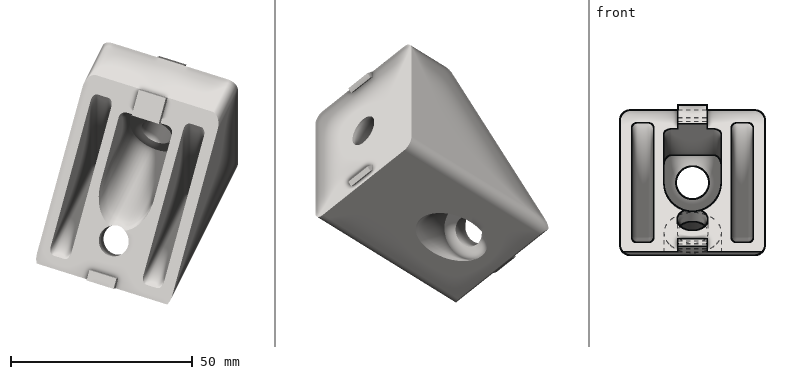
import cadquery as cq
import math


width = 40.0
height = 40.0
top_depth = 12.0
edge_radius = 3.0
toe_width = 1.5

tab_width = 8.0
slope_tab_thickness = 2.0
upper_tab_length = 7.4
lower_tab_length = 3.0
hook_reach = 2.0
hook_thickness = 1.5
hook_pitch = 36.0

bolt_diameter = 9.0
head_diameter = 15.75
bolt_height = height / 2
pocket_floor = 10.0
pocket_corner_radius = 2.0

slope_hole_diameter = 8.5
slope_hole_depth = 42.15
slope_wall = 5.0

slot_width = 6.1
slot_offset = 13.7
slot_back = 15.55
slot_floor = 3.55
slot_radius = 1.5

half = math.sqrt(0.5)
slope_sum = top_depth + height
toe_rise = toe_width * half
toe_depth = slope_sum - toe_rise
base_depth = toe_depth - toe_rise
overrun = 2 * slope_sum


def side_prism(points, thickness):
    """Extrude a (y, z) outline symmetrically about x = 0."""
    return cq.Workplane("YZ").polyline(points).close().extrude(thickness / 2, both=True)


def make_body():
    """Rounded block with the slope and the toe bevel cut; depth runs to +Y until the final mirror."""
    block = cq.Workplane("XY").box(width, toe_depth, height, centered=(True, False, False))
    block = block.edges("|Y").fillet(edge_radius)
    outline = [
        (0, 0),
        (base_depth, 0),
        (toe_depth, toe_rise),
        (top_depth, height),
        (0, height),
    ]
    return block.intersect(side_prism(outline, width))


def make_slope_tab(start_depth, length):
    """Flat tab on the slope, running down it from the given depth."""
    start = (start_depth, slope_sum - start_depth)
    run = length * half
    rise = slope_tab_thickness * half
    end = (start[0] + run, start[1] - run)
    outline = [
        start,
        end,
        (end[0] + rise, end[1] + rise),
        (start[0] + rise, start[1] + rise),
    ]
    return side_prism(outline, tab_width)


def make_hook(top):
    """Hook slanting down and out of the back face from the given height."""
    step = hook_thickness * half
    outline = [
        (0, top),
        (-hook_reach, top - hook_reach),
        (step - hook_reach, top - hook_reach - step),
        (step, top - step),
    ]
    return side_prism(outline, tab_width)


def make_head_pocket():
    """U-shaped pocket whose flat ceiling is square to the slope below the upper tab."""
    radius = head_diameter / 2
    ceiling_depth = top_depth + upper_tab_length * half
    ceiling_offset = slope_sum - 2 * ceiling_depth
    below_ceiling = side_prism(
        [
            (-overrun, ceiling_offset - overrun),
            (overrun, ceiling_offset + overrun),
            (overrun, -overrun),
        ],
        head_diameter,
    )
    ceiling_edges = cq.selectors.ParallelDirSelector(cq.Vector(0, 1, 1))
    below_ceiling = below_ceiling.edges(ceiling_edges).fillet(pocket_corner_radius)
    channel = (
        cq.Workplane("XZ", origin=(0, pocket_floor, 0))
        .moveTo(-radius, overrun)
        .lineTo(-radius, bolt_height)
        .threePointArc((0, bolt_height - radius), (radius, bolt_height))
        .lineTo(radius, overrun)
        .close()
        .extrude(-overrun)
    )
    return below_ceiling.intersect(channel)


def make_bolt_hole():
    return cq.Workplane("XZ").center(0, bolt_height).circle(bolt_diameter / 2).extrude(-overrun)


def make_slope_hole():
    axis = cq.Vector(0, -half, -half)
    mouth = cq.Vector(0, slope_hole_depth, slope_sum - slope_hole_depth)
    seat = mouth + axis * slope_wall
    narrow = cq.Solid.makeCylinder(slope_hole_diameter / 2, 2 * slope_wall, seat, axis * -1)
    wide = cq.Solid.makeCylinder(head_diameter / 2, overrun, seat, axis)
    return cq.Workplane(narrow).union(cq.Workplane(wide))


def make_slot(side):
    """Slot open to the slope, rounded where its back wall, floor and sides meet."""
    slot = cq.Workplane("XY").box(slot_width, overrun, overrun, centered=(True, False, False))
    slot = slot.faces("<Y or <Z").edges("not(>Y or >Z)").fillet(slot_radius)
    return slot.translate((side * slot_offset, slot_back, slot_floor))


part = make_body()
part = part.cut(make_head_pocket()).cut(make_bolt_hole()).cut(make_slope_hole())
for side in (-1, 1):
    part = part.cut(make_slot(side))
part = part.union(make_slope_tab(top_depth, upper_tab_length))
part = part.union(make_slope_tab(toe_depth - lower_tab_length * half, lower_tab_length))
for top in (height, height - hook_pitch):
    part = part.union(make_hook(top))

result = part.mirror("XZ")